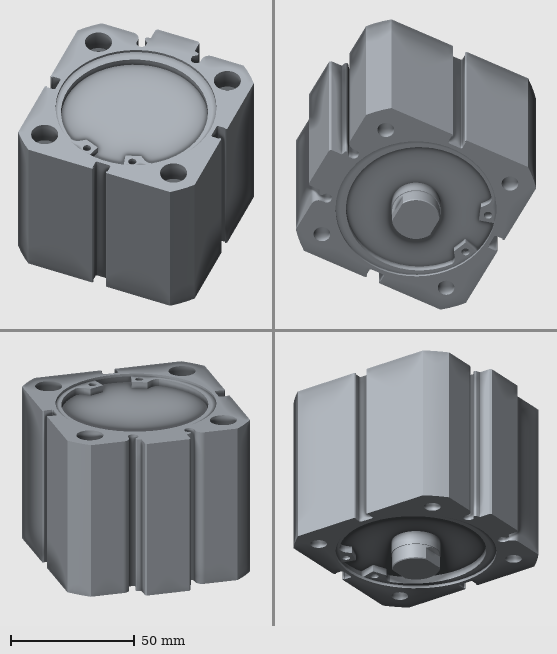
import cadquery as cq
import math

width = 77.5
half_width = width / 2
height = 66.1
corner_radius = 49.7
overall_depth = 83.0
boss_top_y = overall_depth - half_width
boss_half_width = 9.6
boss_chamfer = 0.7

undercut_x = 11.95
undercut_radius = 2.1
undercut_center_y = 34.5
undercut_inner_x = undercut_x - undercut_radius
undercut_outer_x = undercut_x + undercut_radius
nose_upper = (11.4, 38.2)
nose_tip = (11.7, 37.5)
nose_lower = (11.4, 36.8)
mouth_radius = 3.15

slot_floor = 34.3
slot_half_width = 3.2
slot_throat_half_width = 2.7
slot_mouth_half_width = 3.15
slot_lip = 0.8
slot_bevel_depth = 0.5
slot_floor_chamfer = 0.4

bolt_offset = 28.3
bolt_hole_diameter = 6.8
counterbore_diameter = 10.95
counterbore_depth = 9.0

bore_radius = 32.6
slot_web = 0.3
groove_radius = slot_floor - slot_web
ring_inset = 1.2
ring_thickness = 3.0
ring_inner_radius = 29.8
ring_inner_center_y = -1.6
ring_throat_x = 17.7
ear_valley = (16.0, -25.7)
ear_root = (14.4, -25.15)
ear_peak = (12.0, -23.4)
ear_tip = (6.1, -25.65)
ear_end = (8.8, -35.85)
ear_hole = (10.0, -27.7)
ear_hole_radius = 1.7

cover_inset = ring_inset + ring_thickness
head_cover_thickness = 10.0
rod_cover_thickness = 19.9
rod_diameter = 20.0
rod_radius = rod_diameter / 2
rod_projection = 8.0
rod_end_radius = 9.7
rod_collar = 1.6
rod_end_chamfer = 0.3
flat_offset = 8.4
flat_length = 5.1


def make_slot():
    """Sensor slot cutter, opening toward +X, narrowed by two beveled lips."""
    lip_x = half_width - slot_lip
    half_outline = [
        (slot_floor, slot_half_width - slot_floor_chamfer),
        (slot_floor + slot_floor_chamfer, slot_half_width),
        (lip_x, slot_half_width),
        (lip_x, slot_throat_half_width),
        (half_width - slot_bevel_depth, slot_throat_half_width),
        (half_width, slot_mouth_half_width),
    ]
    other_half = [(x, -y) for x, y in reversed(half_outline)]
    return cq.Workplane("XY").polyline(half_outline + other_half).close().extrude(height)


def make_undercut():
    """Cutter for the groove on the +X side of the boss."""
    mouth_bend = mouth_radius * (1 - math.sqrt(0.5))
    mouth_start_y = half_width - mouth_radius
    return (
        cq.Workplane("XY")
        .moveTo(boss_half_width, half_width)
        .lineTo(*nose_upper)
        .threePointArc(nose_tip, nose_lower)
        .lineTo(undercut_inner_x, mouth_start_y)
        .lineTo(undercut_inner_x, undercut_center_y)
        .threePointArc(
            (undercut_x, undercut_center_y - undercut_radius),
            (undercut_outer_x, undercut_center_y),
        )
        .lineTo(undercut_outer_x, mouth_start_y)
        .threePointArc(
            (undercut_outer_x + mouth_bend, half_width - mouth_bend),
            (undercut_outer_x + mouth_radius, half_width),
        )
        .close()
        .extrude(height)
    )


def make_housing():
    corners = cq.Workplane("XY").circle(corner_radius).extrude(height)
    block = cq.Workplane("XY").box(width, width, height, centered=(True, True, False))
    body = block.intersect(corners)

    boss = (
        cq.Workplane("XY")
        .box(2 * boss_half_width, boss_top_y, height, centered=(True, False, False))
        .edges("|Z and >Y")
        .chamfer(boss_chamfer)
    )
    body = body.union(boss)

    undercut = make_undercut()
    body = body.cut(undercut).cut(undercut.mirror("YZ"))
    for angle in (0, 180, 270):
        body = body.cut(make_slot().rotate((0, 0, 0), (0, 0, 1), angle))

    body = (
        body.faces(">Z")
        .workplane(origin=(0, 0, height))
        .rect(2 * bolt_offset, 2 * bolt_offset, forConstruction=True)
        .vertices()
        .cboreHole(bolt_hole_diameter, counterbore_diameter, counterbore_depth)
    )

    body = body.cut(cq.Workplane("XY").circle(bore_radius).extrude(height))
    groove = cq.Workplane("XY").circle(groove_radius).extrude(ring_thickness)
    for z in (ring_inset, height - cover_inset):
        body = body.cut(groove.translate((0, 0, z)))
    return body


def make_ring(z):
    """Internal retaining ring with two pierced ears, its lower face at z."""

    def mirrored(point):
        return (-point[0], point[1])

    throat_drop = math.sqrt(ring_inner_radius**2 - ring_throat_x**2)
    throat = (ring_throat_x, ring_inner_center_y - throat_drop)
    inner_top = (0, ring_inner_center_y + ring_inner_radius)
    opening = (
        cq.Workplane("XY")
        .moveTo(*mirrored(throat))
        .threePointArc(inner_top, throat)
        .threePointArc(ear_valley, ear_root)
        .lineTo(*ear_peak)
        .lineTo(*ear_tip)
        .lineTo(*ear_end)
        .lineTo(*mirrored(ear_end))
        .lineTo(*mirrored(ear_tip))
        .lineTo(*mirrored(ear_peak))
        .lineTo(*mirrored(ear_root))
        .threePointArc(mirrored(ear_valley), mirrored(throat))
        .close()
        .extrude(ring_thickness)
    )
    holes = (
        cq.Workplane("XY")
        .pushPoints([ear_hole, mirrored(ear_hole)])
        .circle(ear_hole_radius)
        .extrude(ring_thickness)
    )
    disk = cq.Workplane("XY").circle(groove_radius).extrude(ring_thickness)
    return disk.cut(opening).cut(holes).translate((0, 0, z))


def make_head_cover():
    return (
        cq.Workplane("XY", origin=(0, 0, height - cover_inset - head_cover_thickness))
        .circle(bore_radius)
        .extrude(head_cover_thickness)
    )


def make_rod_cover():
    return (
        cq.Workplane("XY", origin=(0, 0, cover_inset))
        .circle(bore_radius)
        .circle(rod_radius)
        .extrude(rod_cover_thickness)
    )


def make_rod():
    """Rod from its outer end up to the head cover, with two wrench flats."""
    rod_top = height - cover_inset - head_cover_thickness
    rod = cq.Workplane("XY", origin=(0, 0, -rod_collar)).circle(rod_radius)
    rod = rod.extrude(rod_top + rod_collar)
    tip = (
        cq.Workplane("XY", origin=(0, 0, -rod_projection))
        .circle(rod_end_radius)
        .extrude(rod_projection - rod_collar)
        .faces("<Z")
        .chamfer(rod_end_chamfer)
    )

    flat_top = flat_length - rod_projection
    runout = -rod_collar - flat_top
    flat = (
        cq.Workplane("YZ", origin=(-rod_radius, 0, 0))
        .moveTo(flat_offset, -rod_projection)
        .lineTo(flat_offset, flat_top)
        .lineTo(flat_offset + runout, -rod_collar)
        .lineTo(flat_offset + runout, -rod_projection)
        .close()
        .extrude(2 * rod_radius)
    )
    tip = tip.cut(flat).cut(flat.mirror("XZ"))
    return rod.union(tip)


housing = make_housing()
rings = [make_ring(z) for z in (ring_inset, height - cover_inset)]
head_cover = make_head_cover()
rod_cover = make_rod_cover()
rod = make_rod()

result = cq.Compound.makeCompound(
    [
        housing.val(),
        *[ring.val() for ring in rings],
        head_cover.val(),
        rod_cover.val(),
        rod.val(),
    ]
)